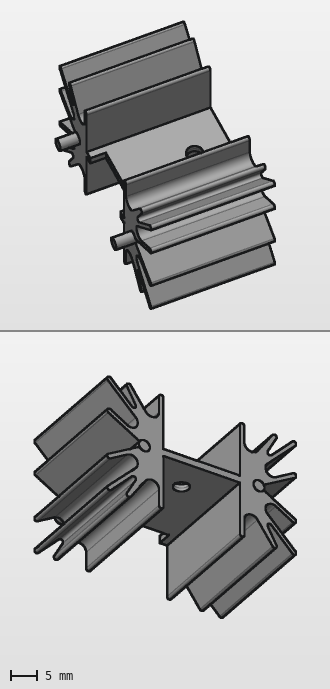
import cadquery as cq
import math

overall_width = 41.9
overall_height = 25.4
length = 25.4
web_thickness = 1.6
wall_x = 8.45

tip_radius = 0.5
tip_top_z = overall_height / 2 - tip_radius
outer_tip_x = overall_width / 2 - tip_radius
slant_tip_x = 16.15
fin_angle = 30

wall_valley_radius = 1.6
wall_valley_z = 8.65
narrow_valley_radius = 0.5
narrow_valley_x = 15.1
narrow_valley_z = 8.17
low_valley_radius = 1.5
low_valley_x = 15.67
low_valley_z = 4.55

pin_diameter = 2.45
pin_x = 12.7
pin_protrusion = 4.0

notch_width = 13.7
notch_depth = 3.2
hole_diameter = 3.2
hole_y = length - 7.1

low_tip_z = (
    (outer_tip_x - pin_x) * math.tan(math.radians(fin_angle))
    + tip_radius / math.cos(math.radians(fin_angle))
)

fin_rounds = [
    (wall_x + tip_radius, tip_top_z, tip_radius),
    (wall_x + 2 * tip_radius + wall_valley_radius, wall_valley_z, -wall_valley_radius),
    (slant_tip_x, tip_top_z, tip_radius),
    (narrow_valley_x, narrow_valley_z, -narrow_valley_radius),
    (outer_tip_x, tip_top_z, tip_radius),
    (low_valley_x, low_valley_z, -low_valley_radius),
    (outer_tip_x, low_tip_z, tip_radius),
]


def tangent_heading(start, end):
    """Heading, in radians, of the line tangent to two successive rounds."""
    dx = end[0] - start[0]
    dz = end[1] - start[1]
    lean = math.asin((start[2] - end[2]) / math.hypot(dx, dz))
    return math.atan2(dz, dx) - lean


def point_on_round(fin_round, heading):
    """Point of a round where the outline travels along the heading."""
    x, z, radius = fin_round
    return (x - radius * math.sin(heading), z + radius * math.cos(heading))


def make_quadrant():
    """Quarter of the heat sink: half the web and one upper fan of fins."""
    up = math.pi / 2
    back_to_pin = math.radians(fin_angle) - math.pi
    headings = [up]
    for start, end in zip(fin_rounds, fin_rounds[1:]):
        headings.append(tangent_heading(start, end))
    headings.append(back_to_pin)

    outline = (
        cq.Workplane("XZ")
        .lineTo(0, web_thickness / 2)
        .lineTo(wall_x, web_thickness / 2)
    )
    for fin_round, heading_in, heading_out in zip(fin_rounds, headings, headings[1:]):
        turn = (heading_out - heading_in) % (2 * math.pi)
        is_tip = fin_round[2] > 0
        if is_tip:
            turn -= 2 * math.pi
        outline = outline.lineTo(*point_on_round(fin_round, heading_in)).threePointArc(
            point_on_round(fin_round, heading_in + turn / 2),
            point_on_round(fin_round, heading_out),
        )
    return outline.lineTo(pin_x, 0).close().extrude(-length)


def make_pin(x):
    """Round pin, flush with the back of the heat sink."""
    return (
        cq.Workplane("XZ", origin=(x, length, 0))
        .circle(pin_diameter / 2)
        .extrude(length + pin_protrusion)
    )


def make_heat_sink():
    """Finned extrusion with pin holes, a front notch and a hole in the web."""
    quadrant = make_quadrant()
    upper_half = quadrant.union(quadrant.mirror("YZ"))
    body = upper_half.union(upper_half.mirror("XY")).clean()

    notch = cq.Workplane("XY").box(
        notch_width, notch_depth, web_thickness, centered=(True, False, True)
    )
    hole = (
        cq.Workplane("XY")
        .center(0, hole_y)
        .circle(hole_diameter / 2)
        .extrude(web_thickness, both=True)
    )
    body = body.cut(notch).cut(hole)
    for x in (-pin_x, pin_x):
        body = body.cut(make_pin(x))
    return body


heat_sink = make_heat_sink()
pins = [make_pin(x).val() for x in (-pin_x, pin_x)]

result = cq.Compound.makeCompound([heat_sink.solids().val(), *pins])